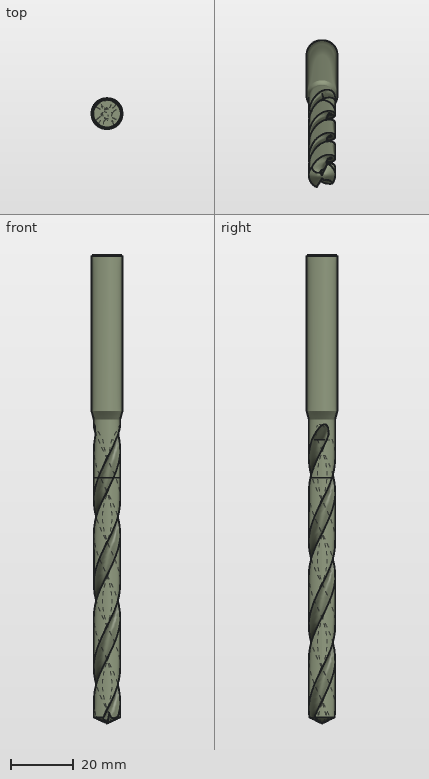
import cadquery as cq
import math

total_length = 150.0
shank_length = 50.0
shank_diameter = 10.0
shank_chamfer = 0.6
neck_taper_length = 2.7
body_diameter = 8.5
joint_height = 78.6
point_angle = 130.0

flute_count = 2
flute_lead = 53.6
flute_half_angle = 35.0
flute_joint_angle = -96.0
web_radius = 1.5
flute_end_height = 90.8
runout_length = 6.4
runout_lean = 30.0
flute_overshoot = 1.0
clearance_radius = 5.0

gash_angle = 75.0
gash_direction = -60.0
gash_tip_radius = 0.4
gash_slope = 18.0
gash_width = 8.0
gash_height = 6.0

body_radius = body_diameter / 2
z_axis = ((0, 0, 0), (0, 0, 1))
shank_radius = shank_diameter / 2
shank_bottom = total_length - shank_length
neck_taper_bottom = shank_bottom - neck_taper_length
point_height = body_radius / math.tan(math.radians(point_angle / 2))

edge_half_width = body_radius * math.sin(math.radians(flute_half_angle))
edge_depth = body_radius * math.cos(math.radians(flute_half_angle)) - web_radius
flute_radius = (edge_half_width**2 + edge_depth**2) / (2 * edge_depth)
flute_offset = web_radius + flute_radius


def flute_direction(height):
    """Angle about Z of the first flute at a given height."""
    return flute_joint_angle + 360.0 * (height - joint_height) / flute_lead


def make_flute(start, end):
    """Helical groove between two heights."""
    edge_x = (flute_offset**2 - flute_radius**2 + clearance_radius**2) / (2 * flute_offset)
    edge_y = math.sqrt(clearance_radius**2 - edge_x**2)
    groove = (
        cq.Workplane("XY")
        .moveTo(edge_x, edge_y)
        .threePointArc((web_radius, 0), (edge_x, -edge_y))
        .threePointArc((clearance_radius, 0), (edge_x, edge_y))
        .close()
        .twistExtrude(end - start, 360.0 * (end - start) / flute_lead)
    )
    return groove.rotate(*z_axis, flute_direction(start)).translate((0, 0, start))


def make_runout():
    """Straight groove that leans outward, along the flute, until it leaves the body."""
    rise = body_radius - web_radius
    sideways = runout_length * math.tan(math.radians(runout_lean))
    start = cq.Vector(flute_offset, 0, 0)
    section = cq.Wire.makeCircle(flute_radius, start, cq.Vector(0, 0, 1))
    groove = cq.Solid.extrudeLinear(section, [], cq.Vector(rise, sideways, runout_length))
    return (
        cq.Workplane(groove)
        .rotate(*z_axis, flute_direction(flute_end_height))
        .translate((0, 0, flute_end_height))
    )


def make_gash():
    """Vee groove that starts near the axis and leans outward as it rises."""
    depth = gash_width / 2 / math.tan(math.radians(gash_angle / 2))
    lean = gash_height * math.tan(math.radians(gash_slope))
    vee = cq.Wire.makePolygon(
        [
            cq.Vector(gash_tip_radius, 0, 0),
            cq.Vector(gash_tip_radius + depth, gash_width / 2, 0),
            cq.Vector(gash_tip_radius + depth, -gash_width / 2, 0),
        ],
        close=True,
    )
    gash = cq.Solid.extrudeLinear(vee, [], cq.Vector(lean, 0, gash_height))
    return cq.Workplane(gash).rotate(*z_axis, gash_direction)


def cut_flutes(blank, groove):
    """Cut one copy of the groove for each flute, spaced evenly about the axis."""
    for index in range(flute_count):
        blank = blank.cut(groove.rotate(*z_axis, index * 360.0 / flute_count))
    return blank


head_blank = (
    cq.Workplane("XZ")
    .polyline([(0, 0), (body_radius, point_height), (body_radius, joint_height), (0, joint_height)])
    .close()
    .revolve(360, (0, 0), (0, 1))
)
head = cut_flutes(head_blank, make_flute(-flute_overshoot, joint_height + flute_overshoot))
head = cut_flutes(head, make_gash())

shank_blank = (
    cq.Workplane("XZ")
    .polyline([
        (0, joint_height),
        (body_radius, joint_height),
        (body_radius, neck_taper_bottom),
        (shank_radius, shank_bottom),
        (shank_radius, total_length),
        (0, total_length),
    ])
    .close()
    .revolve(360, (0, 0), (0, 1))
    .faces(">Z")
    .chamfer(shank_chamfer)
)
shank = cut_flutes(shank_blank, make_flute(joint_height - flute_overshoot, flute_end_height))
shank = cut_flutes(shank, make_runout())

result = cq.Compound.makeCompound([head.val(), shank.val()])